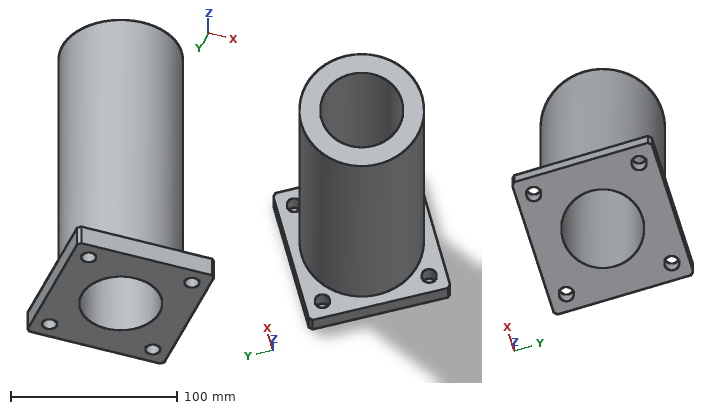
import cadquery as cq

total_height = 192.0
flange_side = 88.0
flange_thickness = 13.0
corner_chamfer = 2.0
body_diameter = 75.0
bore_diameter = 50.0
bolt_hole_diameter = 9.0
bolt_hole_spacing = 66.5


def make_flange():
    """Square mounting plate with bevelled corners, resting on Z = 0."""
    plate = cq.Workplane("XY").rect(flange_side, flange_side).extrude(flange_thickness)
    return plate.edges("|Z").chamfer(corner_chamfer)


def make_body():
    """Cylindrical sleeve running the full height of the part."""
    return cq.Workplane("XY").circle(body_diameter / 2).extrude(total_height)


def make_bore():
    """Through bore along the sleeve axis."""
    return cq.Workplane("XY").circle(bore_diameter / 2).extrude(total_height)


def make_bolt_holes():
    """One through hole near each corner of the flange."""
    return (
        cq.Workplane("XY")
        .rect(bolt_hole_spacing, bolt_hole_spacing, forConstruction=True)
        .vertices()
        .circle(bolt_hole_diameter / 2)
        .extrude(flange_thickness)
    )


result = make_flange().union(make_body()).cut(make_bore()).cut(make_bolt_holes())